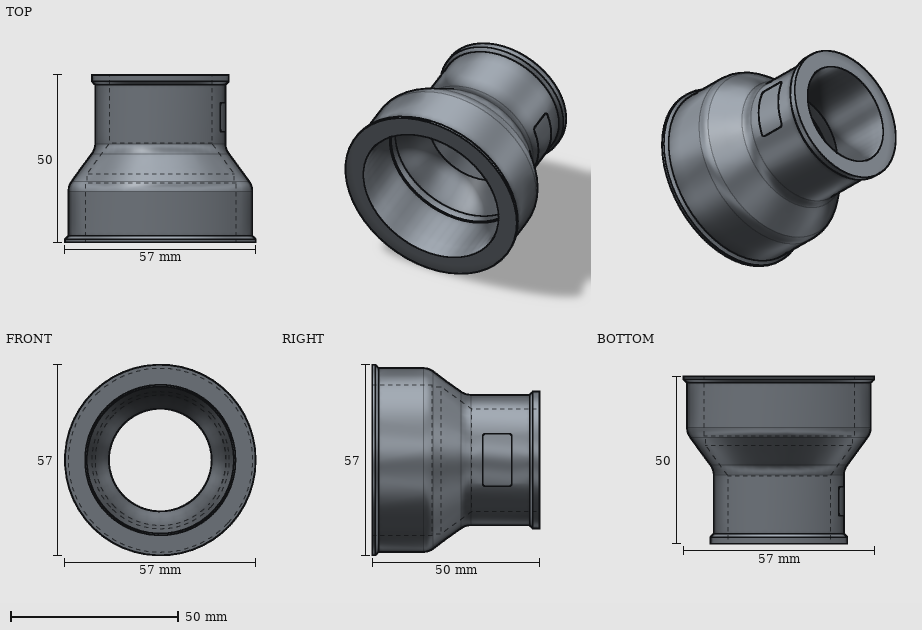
import cadquery as cq
import math

length = 50.0

large_rim_diameter = 57.0
large_body_diameter = 55.0
small_body_diameter = 39.0
small_rim_diameter = 41.0

large_rim_land = 0.9
small_rim_land = 2.0

taper_start = 15.2
taper_angle = math.radians(36.2)
blend_radius = 4.95

socket_diameter = 45.0
socket_depth = 17.8
throat_diameter = 43.9
throat_length = 2.75
bore_diameter = 30.6
inner_taper_length = 9.1

pad_center = 37.35
pad_length = 8.65
pad_width = 15.75
pad_height = 0.1
pad_corner_radius = 0.85


def outer_body():
    """Revolved outer shape with tangent arcs at both ends of the taper."""
    large_rim = large_rim_diameter / 2
    large_body = large_body_diameter / 2
    small_body = small_body_diameter / 2
    small_rim = small_rim_diameter / 2

    arc_along = blend_radius * math.sin(taper_angle)
    arc_drop = blend_radius * (1 - math.cos(taper_angle))
    half_drop = blend_radius * (1 - math.cos(taper_angle / 2))
    half_along = blend_radius * math.sin(taper_angle / 2)
    cone_drop = large_body - small_body - 2 * arc_drop
    cone_start = taper_start + arc_along
    cone_end = cone_start + cone_drop / math.tan(taper_angle)
    taper_end = cone_end + arc_along

    small_rim_start = length - small_rim_land
    profile = (
        cq.Workplane("XY")
        .lineTo(large_rim, 0)
        .lineTo(large_rim, large_rim_land)
        .lineTo(large_body, large_rim_land + large_rim - large_body)
        .lineTo(large_body, taper_start)
        .threePointArc(
            (large_body - half_drop, taper_start + half_along),
            (large_body - arc_drop, cone_start),
        )
        .lineTo(small_body + arc_drop, cone_end)
        .threePointArc(
            (small_body + half_drop, taper_end - half_along),
            (small_body, taper_end),
        )
        .lineTo(small_body, small_rim_start - (small_rim - small_body))
        .lineTo(small_rim, small_rim_start)
        .lineTo(small_rim, length)
        .lineTo(0, length)
        .close()
    )
    return profile.revolve(360, (0, 0, 0), (0, 1, 0))


def inner_bore():
    """Revolved void: socket, stepped throat, taper and through bore."""
    throat_end = socket_depth + throat_length
    profile = (
        cq.Workplane("XY")
        .lineTo(socket_diameter / 2, 0)
        .lineTo(socket_diameter / 2, socket_depth)
        .lineTo(throat_diameter / 2, socket_depth)
        .lineTo(throat_diameter / 2, throat_end)
        .lineTo(bore_diameter / 2, throat_end + inner_taper_length)
        .lineTo(bore_diameter / 2, length)
        .lineTo(0, length)
        .close()
    )
    return profile.revolve(360, (0, 0, 0), (0, 1, 0))


def label_pad():
    """Thin rounded rectangle that follows the curve of the small body."""
    pad_radius = small_body_diameter / 2 + pad_height
    outline = (
        cq.Workplane("YZ")
        .center(pad_center, 0)
        .rect(pad_length, pad_width)
        .extrude(small_body_diameter)
        .edges("|X")
        .fillet(pad_corner_radius)
    )
    shell = cq.Workplane("XZ").circle(pad_radius).circle(bore_diameter / 2).extrude(-length)
    return shell.intersect(outline)


result = outer_body().cut(inner_bore()).union(label_pad())